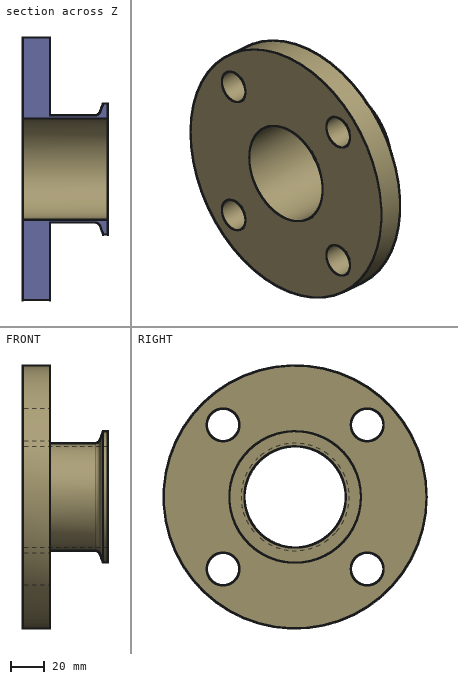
import cadquery as cq
import math

flange_diameter = 155.0
flange_thickness = 16.1
total_length = 50.0

bore_diameter = 59.5
tube_diameter = 63.5
rim_diameter = 77.5
rim_thickness = 2.8
cone_angle = 20.0
neck_radius = 2.8

bolt_hole_count = 4
bolt_hole_diameter = 19.0
bolt_circle_diameter = 120.0
first_bolt_angle = 45.0


def make_revolved_body():
    """Flange, tube and ferrule turned about the X axis."""
    flange_radius = flange_diameter / 2
    tube_radius = tube_diameter / 2
    rim_radius = rim_diameter / 2
    rim_back = total_length - rim_thickness
    slope = math.radians(cone_angle)
    cone_start = rim_back - (rim_radius - tube_radius) * math.tan(slope)

    turn = math.pi / 2 - slope
    tangent_length = neck_radius * math.tan(turn / 2)
    blend_start = cone_start - tangent_length

    def blend_point(angle):
        x = blend_start + neck_radius * math.sin(angle)
        radius = tube_radius + neck_radius * (1 - math.cos(angle))
        return (x, radius)

    profile = (
        cq.Workplane("XY")
        .moveTo(0, 0)
        .lineTo(0, flange_radius)
        .lineTo(flange_thickness, flange_radius)
        .lineTo(flange_thickness, tube_radius)
        .lineTo(blend_start, tube_radius)
        .threePointArc(blend_point(turn / 2), blend_point(turn))
        .lineTo(rim_back, rim_radius)
        .lineTo(total_length, rim_radius)
        .lineTo(total_length, 0)
        .close()
    )
    return profile.revolve(360, (0, 0, 0), (1, 0, 0))


def make_bore():
    """Through bore along the X axis."""
    return cq.Workplane("YZ").circle(bore_diameter / 2).extrude(total_length)


def make_bolt_holes():
    """Bolt holes through the flange, evenly spaced on the bolt circle."""
    return (
        cq.Workplane("YZ")
        .polarArray(bolt_circle_diameter / 2, first_bolt_angle, 360, bolt_hole_count)
        .circle(bolt_hole_diameter / 2)
        .extrude(flange_thickness)
    )


result = make_revolved_body().cut(make_bore()).cut(make_bolt_holes())